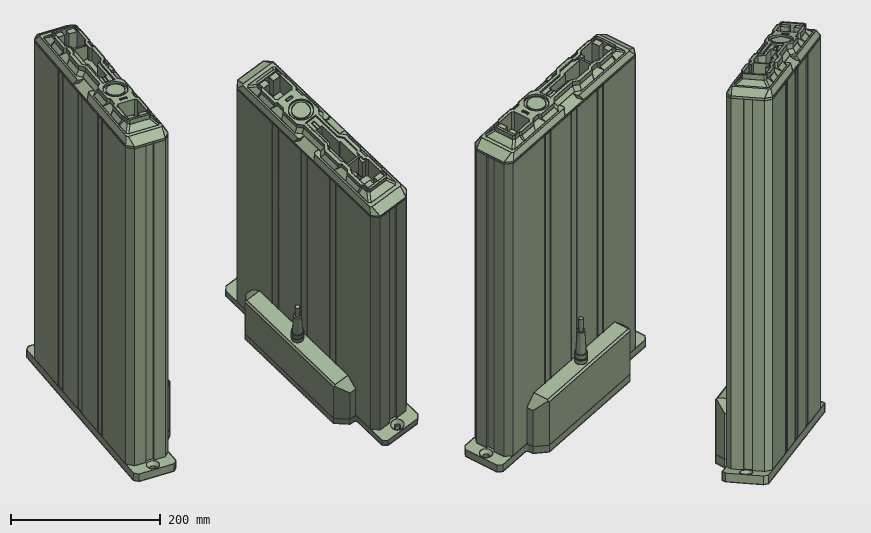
import cadquery as cq

plate_top = 12.5
housing_top = 534.0
crown_bottom = 515.0
bezel_band_top = 537.5
bezel_top = 546.5
crown_shoulder = 553.0
crown_top = 560.0

plate_length = 328.0
plate_width = 64.0
plate_corner_chamfer = 5.5
tab_fillet = 4.5
screw_spacing = 307.0
screw_hole_diameter = 8.5
countersink_diameter = 18.0
countersink_angle = 90

housing_length = 289.0
housing_width = 64.0
housing_chamfer = 9.0
groove_width = 12.5
groove_pitch = 58.0
side_groove_depth = 1.0
end_groove_depth = 3.5

box_length = 210.5
box_depth = 26.0
box_top = 92.5
box_chamfer = 15.5
box_back_chamfer = 3.0

cable_y = 43.0
gland_diameter = 17.0
gland_top = 108.5
gland_groove_z = 99.0
gland_groove_width = 1.5
gland_groove_depth = 0.5
boot_bottom_diameter = 14.0
boot_top_diameter = 10.5
boot_top = 146.0
cable_diameter = 6.0
cable_top = 168.0

bezel_top_length = 261.0
bezel_top_width = 55.0
bezel_top_chamfer = 2.0
notch_half_width = 14.5
notch_mouth_half_width = 21.0
notch_mouth_depth = 6.0

foot_half_length = 125.0
foot_half_width = 24.5
foot_waist_half_width = 18.5
wall_half_length = 114.0
wall_end_half_width = 17.5
wall_half_width = 19.5
wall_waist_half_width = 13.5
end_block_start = 100.0
end_block_step = 2.0
corner_chamfer = 3.0
foot_waist_start = 18.5
foot_waist_end = 26.0
wall_waist_start = 21.0
wall_waist_end = 28.5

neck_x = 65.0
neck_half_width = 6.0
neck_mouth_half_width = 12.0
neck_y = 16.0

pocket_floor = 519.5
pocket_half_width = 15.0
pocket_inner_x = 74.5
pocket_outer_x = 102.0
pocket_corner_chamfer = 3.0
shelf_outer_x = 111.0
shelf_depth = 3.0
shelf_slot_width = 7.0
bar_width = 3.0
bar_root_y = 11.0
bar_splay_half_width = 9.5
trough_wide_end = 29.0
trough_narrow_start = 22.0
trough_end = 5.5
trough_half_width = 14.0
trough_shelf_end = 22.5
shelf_channel_half_width = 9.0
channel_half_width = 5.0
trough_front_half_width = 7.0
key_slot_end = 18.0
key_slot_width = 4.5
key_slot_depth = 1.5

seat_x = 42.0
seat_outer_radius = 17.0
seat_disc_radius = 13.0
seat_depth = 3.5
disc_drop = 1.0

latch_slot_x = 64.5
latch_slot_width = 3.5
latch_slot_length = 10.0
latch_slot_depth = 1.5

box_back_y = housing_width / 2 + box_depth


def chamfered_rectangle(length, width, chamfer, z):
    """Closed rectangle outline with cut corners at height z."""
    x = length / 2
    y = width / 2
    points = [
        (x, y - chamfer), (x - chamfer, y), (chamfer - x, y), (-x, y - chamfer),
        (-x, chamfer - y), (chamfer - x, -y), (x - chamfer, -y), (x, chamfer - y),
    ]
    return cq.Workplane("XY").workplane(offset=z).polyline(points).close()


def mirrored_outline(quarter):
    """Completes the points of the +X +Y quarter, listed from the +X end inward, to a full outline."""
    upper = quarter + [(-x, y) for x, y in reversed(quarter)]
    return upper + [(-x, -y) for x, y in upper]


def box_block(bottom, top):
    """Outline of the connector box with its two cut rear corners, from bottom to top."""
    x = box_length / 2
    points = [
        (-x, housing_width / 2), (x, housing_width / 2), (x, box_back_y - box_chamfer),
        (x - box_chamfer, box_back_y), (box_chamfer - x, box_back_y), (-x, box_back_y - box_chamfer),
    ]
    return cq.Workplane("XY").workplane(offset=bottom).polyline(points).close().extrude(top - bottom)


def block(x0, x1, y0, y1, z0, z1):
    """Box between two opposite corners."""
    return cq.Workplane("XY").box(x1 - x0, y1 - y0, z1 - z0, centered=False).translate((x0, y0, z0))


foot_outline = mirrored_outline([
    (foot_half_length, foot_half_width - corner_chamfer),
    (foot_half_length - corner_chamfer, foot_half_width),
    (end_block_start + end_block_step, foot_half_width),
    (end_block_start, foot_half_width),
    (foot_waist_end, foot_half_width),
    (foot_waist_start, foot_waist_half_width),
])
wall_outline = mirrored_outline([
    (wall_half_length, wall_end_half_width - corner_chamfer),
    (wall_half_length - corner_chamfer, wall_end_half_width),
    (end_block_start + end_block_step, wall_end_half_width),
    (end_block_start, wall_half_width),
    (wall_waist_end, wall_half_width),
    (wall_waist_start, wall_waist_half_width),
])


def column(points, bottom):
    """Prism over the given plan points, from bottom up to the top of the crown."""
    return cq.Workplane("XY").workplane(offset=bottom).polyline(points).close().extrude(crown_top - bottom)


def make_base_plate():
    plate = chamfered_rectangle(plate_length, plate_width, plate_corner_chamfer, 0).extrude(plate_top)
    plate = plate.union(box_block(0, plate_top))
    margin = 0.5
    inner_corners = cq.selectors.BoxSelector(
        (-box_length / 2 - margin, plate_width / 2 - margin, -margin),
        (box_length / 2 + margin, plate_width / 2 + margin, plate_top + margin),
    )
    plate = plate.edges("|Z").edges(inner_corners).fillet(tab_fillet)
    return (
        plate.faces(">Z").workplane(origin=(0, 0, plate_top))
        .pushPoints([(-screw_spacing / 2, 0), (screw_spacing / 2, 0)])
        .cskHole(screw_hole_diameter, countersink_diameter, countersink_angle)
    )


def make_housing():
    height = housing_top - plate_top
    housing = chamfered_rectangle(housing_length, housing_width, housing_chamfer, plate_top).extrude(height)
    level = cq.Workplane("XY").workplane(offset=plate_top)
    side_y = housing_width / 2
    side_grooves = (
        level.pushPoints([(i * groove_pitch, side * side_y) for i in (-1, 0, 1) for side in (-1, 1)])
        .rect(groove_width, 2 * side_groove_depth).extrude(height)
    )
    end_x = housing_length / 2
    end_grooves = (
        level.pushPoints([(-end_x, 0), (end_x, 0)]).rect(2 * end_groove_depth, groove_width).extrude(height)
    )
    housing = housing.cut(side_grooves).cut(end_grooves)
    return housing.cut(crown_foot())


def make_connector_box():
    box = box_block(plate_top, box_top)
    box = box.faces(">Z").edges(">X or <X").chamfer(box_chamfer)
    return box.faces(">Z").edges(">Y").chamfer(box_back_chamfer)


def cable_level(z):
    return cq.Workplane("XY").workplane(offset=z).center(0, cable_y)


def make_gland():
    gland = cable_level(box_top).circle(gland_diameter / 2).extrude(gland_top - box_top)
    groove = (
        cable_level(gland_groove_z).circle(gland_diameter / 2)
        .circle(gland_diameter / 2 - gland_groove_depth).extrude(gland_groove_width)
    )
    return gland.cut(groove)


def make_boot():
    return (
        cable_level(gland_top).circle(boot_bottom_diameter / 2)
        .workplane(offset=boot_top - gland_top).circle(boot_top_diameter / 2).loft()
    )


def make_cable():
    return cable_level(boot_top).circle(cable_diameter / 2).extrude(cable_top - boot_top)


def crown_foot():
    """Straight foot of the crown, which fills the opening of the bezel and a recess in the housing."""
    return (
        cq.Workplane("XY").workplane(offset=crown_bottom).polyline(foot_outline).close()
        .extrude(bezel_top - crown_bottom)
    )


def bezel_notch():
    """Sloping cut through the middle of the +Y side of the bezel, flared at its mouth."""
    y_outer = housing_width / 2
    y_flare = y_outer - notch_mouth_depth
    plan = [
        (notch_mouth_half_width, y_outer), (notch_half_width, y_flare),
        (notch_half_width, foot_waist_half_width), (-notch_half_width, foot_waist_half_width),
        (-notch_half_width, y_flare), (-notch_mouth_half_width, y_outer),
    ]
    above_slope = (
        cq.Workplane("YZ")
        .polyline([(y_outer, bezel_band_top), (foot_waist_half_width, bezel_top), (y_outer, bezel_top)])
        .close().extrude(notch_mouth_half_width, both=True)
    )
    return column(plan, bezel_band_top).intersect(above_slope)


def make_bezel():
    band = chamfered_rectangle(housing_length, housing_width, housing_chamfer, housing_top)
    bezel = band.extrude(bezel_band_top - housing_top)
    lower = chamfered_rectangle(housing_length, housing_width, housing_chamfer, bezel_band_top).wire().val()
    upper = chamfered_rectangle(bezel_top_length, bezel_top_width, bezel_top_chamfer, bezel_top).wire().val()
    bezel = bezel.union(cq.Workplane(cq.Solid.makeLoft([lower, upper], True)))
    notch = bezel_notch()
    return bezel.cut(crown_foot()).cut(notch).cut(notch.mirror("XZ"))


def neck_cut():
    """Wedge pinching the +Y side of the crown, with a floor that slopes down to the foot."""
    plan = [
        (neck_half_width, neck_y), (neck_mouth_half_width, foot_half_width),
        (-neck_mouth_half_width, foot_half_width), (-neck_half_width, neck_y),
    ]
    profile = [
        (foot_half_width, bezel_top), (neck_y, crown_shoulder),
        (neck_y, crown_top), (foot_half_width, crown_top),
    ]
    above_slope = cq.Workplane("YZ").polyline(profile).close().extrude(neck_mouth_half_width, both=True)
    return column(plan, bezel_top).intersect(above_slope)


def end_pocket():
    """Deep pocket at the +X end, with a shallow shelf split by a deep slot."""
    pocket = block(
        pocket_inner_x, pocket_outer_x, -pocket_half_width, pocket_half_width, pocket_floor, crown_top
    )
    pocket = pocket.edges("|Z and <X").chamfer(pocket_corner_chamfer)
    shelf = block(
        pocket_outer_x, shelf_outer_x, -pocket_half_width, pocket_half_width,
        crown_top - shelf_depth, crown_top,
    )
    slot = block(
        pocket_outer_x, shelf_outer_x, -shelf_slot_width / 2, shelf_slot_width / 2, pocket_floor, crown_top
    )
    return pocket.union(shelf).union(slot)


def neck_bar():
    """Bar left standing across the trough between the -X necks, splayed where it meets them."""
    quarter = [
        (bar_width / 2, bar_root_y),
        (neck_half_width, bar_root_y),
        (bar_splay_half_width, trough_half_width),
    ]
    return column(mirrored_outline(quarter), pocket_floor).translate((-neck_x, 0, 0))


def trough():
    """Long pocket left of the middle, with a shallow shelf, a round-backed floor and a crossing bar."""
    shelf_back = [
        (-pocket_inner_x, trough_half_width), (-trough_wide_end, trough_half_width),
        (-trough_narrow_start, shelf_channel_half_width), (trough_shelf_end, shelf_channel_half_width),
    ]
    shelf = column(shelf_back + [(x, -y) for x, y in reversed(shelf_back)], crown_top - shelf_depth)
    deep_part = column(
        [
            (-pocket_inner_x, -channel_half_width), (-pocket_inner_x, trough_half_width),
            (-trough_wide_end, trough_half_width), (-trough_narrow_start, channel_half_width),
            (trough_end, channel_half_width), (trough_end, -channel_half_width),
        ],
        pocket_floor,
    )
    hump = (
        cq.Workplane("YZ", origin=(-pocket_inner_x, 0, 0)).center(trough_half_width, pocket_floor)
        .circle(trough_half_width + channel_half_width).extrude(pocket_inner_x + trough_end)
    )
    front_strip = block(
        -pocket_inner_x, -trough_wide_end, -trough_front_half_width, -channel_half_width,
        pocket_floor, crown_top,
    )
    key_slot = block(
        trough_end, key_slot_end, -key_slot_width / 2, key_slot_width / 2,
        crown_top - shelf_depth - key_slot_depth, crown_top - shelf_depth,
    )
    return deep_part.cut(hump).union(front_strip).union(shelf).union(key_slot).cut(neck_bar())


def latch_slot():
    """Shallow slot between the round seat and the +X pocket."""
    half_length = latch_slot_length / 2
    return block(
        latch_slot_x, latch_slot_x + latch_slot_width, -half_length, half_length,
        crown_top - latch_slot_depth, crown_top,
    )


def seat_cut():
    """Round recess with a disc standing in it just below the rim."""
    recess = (
        cq.Workplane("XY").workplane(offset=crown_top - seat_depth).center(seat_x, 0)
        .circle(seat_outer_radius).extrude(seat_depth)
    )
    disc = (
        cq.Workplane("XY").workplane(offset=crown_top - seat_depth).center(seat_x, 0)
        .circle(seat_disc_radius).extrude(seat_depth - disc_drop)
    )
    return recess.cut(disc)


def make_crown():
    lower = cq.Workplane("XY").workplane(offset=bezel_top).polyline(foot_outline).close().wire().val()
    upper = cq.Workplane("XY").workplane(offset=crown_shoulder).polyline(wall_outline).close().wire().val()
    slope = cq.Workplane(cq.Solid.makeLoft([lower, upper], True))
    wall = (
        cq.Workplane("XY").workplane(offset=crown_shoulder).polyline(wall_outline).close()
        .extrude(crown_top - crown_shoulder)
    )
    crown = crown_foot().union(slope).union(wall)
    neck = neck_cut()
    for x in (-neck_x, neck_x):
        crown = crown.cut(neck.translate((x, 0, 0))).cut(neck.mirror("XZ").translate((x, 0, 0)))
    pocket = end_pocket()
    return crown.cut(pocket).cut(pocket.mirror("YZ")).cut(trough()).cut(seat_cut()).cut(latch_slot())


result = cq.Compound.makeCompound([
    make_base_plate().val(),
    make_housing().val(),
    make_bezel().val(),
    make_crown().val(),
    make_connector_box().val(),
    make_gland().val(),
    make_boot().val(),
    make_cable().val(),
])